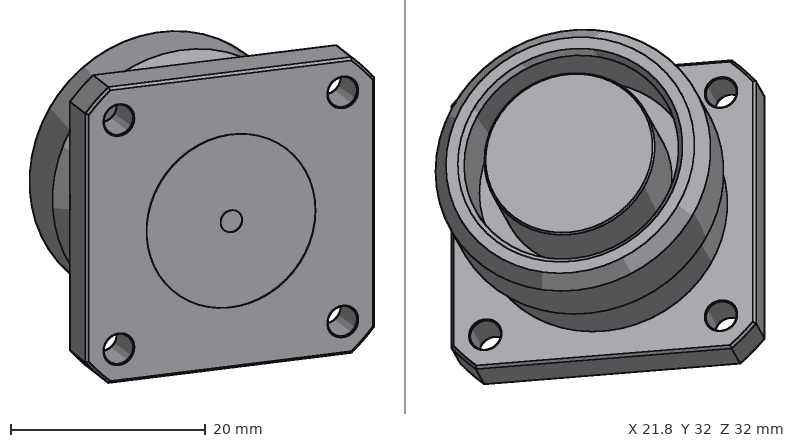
import cadquery as cq
total_length = 21.75
flange_side = 32.0

pip_height = 0.1
pip_radius = 1.2
pad_height = 0.1
pad_radius = 9.35
pad_rear = total_length - pip_height

flange_thickness = 4.8
flange_rear = pad_rear - pad_height
flange_front = flange_rear - flange_thickness
corner_radius = 20.9
flange_edge_chamfer = 0.3
hole_radius = 1.6
hole_chamfer = 0.13
hole_offset = 12.4

collar_front = 0.55
collar_length = 9.2
collar_radius = 14.45
neck_radius = 13.05
collar_bevel = collar_radius - neck_radius

cavity_radius = 11.25
cavity_mouth_chamfer = 0.55
cavity_floor = 8.65
plug_radius = 8.95
plug_chamfer = 0.2


def cylinder(radius, x_start, x_end):
    return cq.Workplane("YZ", origin=(x_start, 0, 0)).circle(radius).extrude(x_end - x_start)


def make_flange():
    square = (
        cq.Workplane("YZ", origin=(flange_front, 0, 0))
        .rect(flange_side, flange_side)
        .extrude(flange_thickness)
    )
    plate = square.intersect(cylinder(corner_radius, flange_front, flange_rear))
    plate = plate.faces("<X or >X").edges().chamfer(flange_edge_chamfer)
    holes = (
        cq.Workplane("YZ", origin=(flange_front, 0, 0))
        .rect(2 * hole_offset, 2 * hole_offset, forConstruction=True)
        .vertices()
        .circle(hole_radius)
        .extrude(flange_thickness)
    )
    drilled = plate.cut(holes)
    return drilled.faces("<X or >X").edges("%CIRCLE").edges(
        cq.selectors.RadiusNthSelector(0)
    ).chamfer(hole_chamfer)


def make_shell():
    collar = cylinder(collar_radius, collar_front, collar_front + collar_length)
    collar = collar.edges().chamfer(collar_bevel)
    neck = cylinder(neck_radius, collar_front + collar_length, flange_front)
    cavity = cylinder(cavity_radius, collar_front, cavity_floor)
    shell = collar.union(neck).cut(cavity)
    mouth_edge = shell.faces("<X").edges(cq.selectors.RadiusNthSelector(0))
    return mouth_edge.chamfer(cavity_mouth_chamfer)


plug = cylinder(plug_radius, 0, cavity_floor).faces("<X").chamfer(plug_chamfer)
pad = cylinder(pad_radius, flange_rear, pad_rear)
pip = cylinder(pip_radius, pad_rear, total_length)

result = make_flange().union(make_shell()).union(plug).union(pad).union(pip)